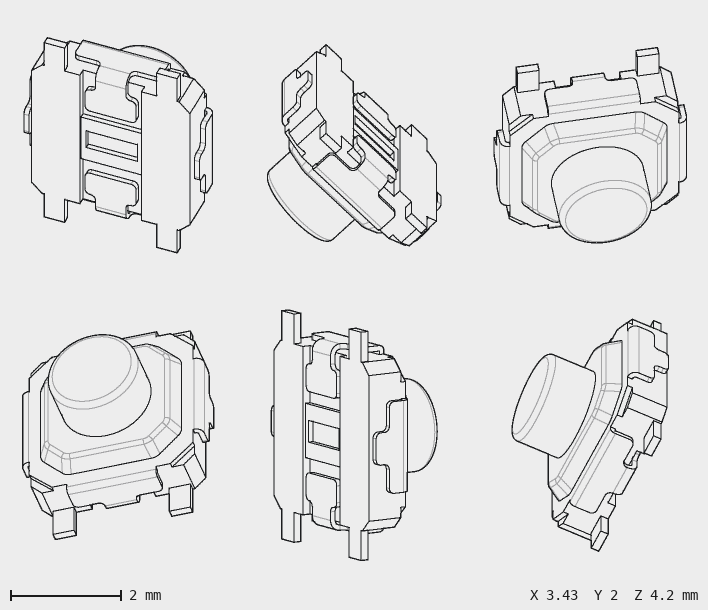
import cadquery as cq
import math


body_width = 3.1
body_height = 0.8
body_corner_cut = 0.21

terminal_span = 4.2
terminal_width = 0.4
terminal_spacing = 2.2
terminal_thickness = 0.15

groove_width = 1.2
groove_depth = terminal_thickness
bar_width = 1.0
bar_depth = 0.05
window_length = bar_width
window_width = terminal_width
window_depth = groove_depth

sheet = 0.1
cover_cut_x = 0.43
cover_cut_z = 0.4
clip_span = 3.43
clip_width = 1.69
side_clip_end = 0.335
side_clip_bend = 0.15
tab_clip_end = 0.305
tab_clip_bend = sheet
tongue_width = 0.595
side_tongue_end = 0.05
tab_width = bar_width
tab_inner_end = 0.748
tab_shoulder = 1.26
tab_bend = 2.0 * sheet
sheet_corner = 0.1
neck_corner = 0.095

dome_width = 2.665
dome_corner_cut = 0.48
dome_top = 1.1
dome_slope = 30.0
dome_corner_radius = 0.27
dome_edge_radius = 0.1

button_radius = 0.85
button_top = 2.0
button_edge_radius = dome_edge_radius

body_half = body_width / 2.0
clip_outer = clip_span / 2.0
clip_inner = clip_outer - sheet
cover_bottom = body_height - sheet


def block(x_size, z_size, y_low, y_high, x=0.0, z=0.0):
    """Block centred on (x, z) that reaches from y_low to y_high."""
    centre = (x, (y_low + y_high) / 2.0, z)
    return cq.Workplane("XY").box(x_size, y_high - y_low, z_size).translate(centre)


def cut_corner_plate(width, cut_x, cut_z, y_low, y_high):
    """Square plate whose four upright corners are cut off."""
    half = width / 2.0
    triangle = [(half, half), (half - cut_x, half), (half, half - cut_z)]
    corner = (
        cq.Workplane("XZ", origin=(0, y_high, 0))
        .polyline(triangle)
        .close()
        .extrude(y_high - y_low)
    )
    corners = corner.union(corner.mirror("YZ"))
    corners = corners.union(corners.mirror("XY"))
    return block(width, width, y_low, y_high).cut(corners)


def make_body():
    core = cut_corner_plate(body_width, body_corner_cut, body_corner_cut, 0.0, cover_bottom)
    for side in (-1, 1):
        x = side * terminal_spacing / 2.0
        core = core.union(block(terminal_width, terminal_span, 0.0, terminal_thickness, x))
    core = core.cut(block(groove_width, body_width, 0.0, groove_depth))
    core = core.union(block(groove_width, bar_width, bar_depth, groove_depth))
    return core.cut(block(window_length, window_width, 0.0, window_depth))


def edges_around(x, y, z):
    """Selector for the edges centred close to (x, y, z) or its mirror point at -x."""
    reach = sheet / 2.0
    right = cq.selectors.BoxSelector((x - reach, y - reach, z - reach), (x + reach, y + reach, z + reach))
    left = cq.selectors.BoxSelector((-x - reach, y - reach, z - reach), (-x + reach, y + reach, z + reach))
    return right + left


def clip_blank(clip_end, tongue_end):
    """Flat clip facing +Z: a wide upper part and a narrow tongue below it."""
    wide = block(clip_width, sheet, clip_end, body_height, z=clip_outer - sheet / 2.0)
    tongue = block(tongue_width, sheet, tongue_end, clip_end, z=clip_outer - sheet / 2.0)
    outline = wide.union(tongue)
    root_corners = edges_around(tongue_width / 2.0, clip_end, clip_outer - sheet / 2.0)
    outer_corners = edges_around(clip_width / 2.0, clip_end, clip_outer - sheet / 2.0)
    outline = outline.edges("|Z").edges(root_corners).fillet(sheet_corner)
    return outline.edges("|Z").edges(outer_corners).fillet(sheet_corner)


def add_cover_bend(clip, bend_radius):
    """Join the clip to the cover; a bend wider than the sheet is also round on its inside."""
    arm_depth = clip_outer - body_half + sheet
    arm = block(clip_width, arm_depth, cover_bottom, body_height, z=clip_outer - arm_depth / 2.0)
    clip = clip.union(arm)
    outer_bend = cq.selectors.NearestToPointSelector((0.0, body_height, clip_outer))
    inner_bend = cq.selectors.NearestToPointSelector((0.0, cover_bottom, clip_inner))
    clip = clip.edges(outer_bend).fillet(bend_radius)
    if bend_radius > sheet:
        clip = clip.edges(inner_bend).fillet(bend_radius - sheet)
    return clip


def make_side_clip():
    clip = clip_blank(side_clip_end, side_tongue_end)
    clip = clip.edges("|Z and <Y").fillet(sheet_corner)
    return add_cover_bend(clip, side_clip_bend)


def make_tab_bend():
    """Quarter turn that carries the tongue under the body."""
    centre_z = clip_outer - tab_bend
    diagonal = math.sqrt(0.5)
    inner_radius = tab_bend - sheet
    return (
        cq.Workplane("YZ")
        .moveTo(tab_bend, clip_outer)
        .threePointArc(
            (tab_bend - tab_bend * diagonal, centre_z + tab_bend * diagonal),
            (0.0, centre_z),
        )
        .lineTo(sheet, centre_z)
        .threePointArc(
            (tab_bend - inner_radius * diagonal, centre_z + inner_radius * diagonal),
            (tab_bend, clip_inner),
        )
        .close()
        .extrude(tongue_width / 2.0, both=True)
    )


def make_tab():
    """Flat tab on the underside, joined to the bend by a neck."""
    length = tab_shoulder - tab_inner_end
    neck_length = clip_outer - tab_bend - tab_shoulder
    head = block(tab_width, length, 0.0, sheet, z=tab_inner_end + length / 2.0)
    head = head.edges("|Y").fillet(sheet_corner)
    neck = block(tongue_width, neck_length, 0.0, sheet, z=tab_shoulder + neck_length / 2.0)
    tab = head.union(neck)
    neck_corners = edges_around(tongue_width / 2.0, sheet / 2.0, tab_shoulder)
    return tab.edges("|Y").edges(neck_corners).fillet(neck_corner)


def make_tab_clip():
    clip = add_cover_bend(clip_blank(tab_clip_end, tab_bend), tab_clip_bend)
    return clip.union(make_tab_bend()).union(make_tab())


def turned(shape, degrees):
    """Copy of a shape turned about the button axis."""
    return shape.rotate((0, 0, 0), (0, 1, 0), degrees)


def make_cover():
    cover = cut_corner_plate(body_width, cover_cut_x, cover_cut_z, cover_bottom, body_height)
    tab_clip = make_tab_clip()
    side_clip = make_side_clip()
    for angle in (0, 180):
        cover = cover.union(turned(tab_clip, angle))
        cover = cover.union(turned(side_clip, angle + 90))
    return cover


def make_dome():
    """Eight-sided tapered dome with rounded corners and a rounded top edge."""
    outline = cq.Sketch().rect(dome_width, dome_width).vertices().chamfer(dome_corner_cut)
    dome = (
        cq.Workplane("XZ", origin=(0, body_height, 0))
        .placeSketch(outline)
        .extrude(body_height - dome_top, taper=dome_slope)
    )
    dome = dome.edges("not(#Y)").fillet(dome_corner_radius)
    return dome.faces(">Y").edges().fillet(dome_edge_radius)


def make_button():
    button = (
        cq.Workplane("XZ", origin=(0, body_height, 0))
        .circle(button_radius)
        .extrude(body_height - button_top)
    )
    return button.faces(">Y").edges().fillet(button_edge_radius)


result = make_body().union(make_cover()).union(make_dome()).union(make_button())